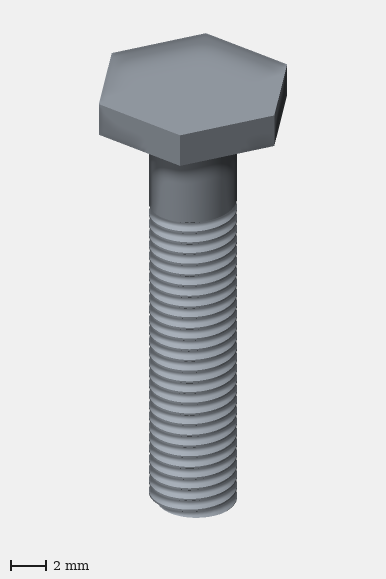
import cadquery as cq
import math

HEAD_ACROSS_FLATS = 10.0
HEAD_THICKNESS = 2.0
HEAD_SIDES = 6
HEAD_ACROSS_CORNERS = HEAD_ACROSS_FLATS / math.cos(math.pi / HEAD_SIDES)
HEAD_TURN = 90.0

SHANK_DIAMETER = 5.0
SHANK_LENGTH = 25.0
SHANK_RADIUS = SHANK_DIAMETER / 2
SHANK_SEAM_ANGLE = 218.5

PITCH = 0.7
GROOVE_DEPTH = 0.48
CREST_WIDTH = 0.12
GROOVE_END_HEIGHT = 19.5
GROOVE_END_ANGLE = 180.0
GROOVE_WIDTH = PITCH - CREST_WIDTH
TURNS_BELOW_TIP = 1
GROOVE_TURNS = math.ceil(GROOVE_END_HEIGHT / PITCH) + TURNS_BELOW_TIP

CUT_OVERLAP = 0.05


def make_shank():
    shank = cq.Workplane("XY").circle(SHANK_RADIUS).extrude(SHANK_LENGTH)
    return shank.rotate((0, 0, 0), (0, 0, 1), SHANK_SEAM_ANGLE)


def make_head():
    head = cq.Workplane("XY").workplane(offset=SHANK_LENGTH).polygon(HEAD_SIDES, HEAD_ACROSS_CORNERS)
    return head.extrude(HEAD_THICKNESS).rotate((0, 0, 0), (0, 0, 1), HEAD_TURN)


def make_thread_groove():
    groove_height = GROOVE_TURNS * PITCH
    root_radius = SHANK_RADIUS - GROOVE_DEPTH
    outer_radius = SHANK_RADIUS + CUT_OVERLAP
    outer_half_width = GROOVE_WIDTH / 2 * (GROOVE_DEPTH + CUT_OVERLAP) / GROOVE_DEPTH
    helix = cq.Wire.makeHelix(PITCH, groove_height, SHANK_RADIUS)
    profile = cq.Workplane("XZ").polyline(
        [(root_radius, 0), (outer_radius, outer_half_width), (outer_radius, -outer_half_width)]
    ).close()
    groove = profile.sweep(cq.Workplane(helix), isFrenet=True)
    groove = groove.rotate((0, 0, 0), (0, 0, 1), GROOVE_END_ANGLE)
    return groove.translate((0, 0, GROOVE_END_HEIGHT - groove_height))


result = make_shank().cut(make_thread_groove()).union(make_head())